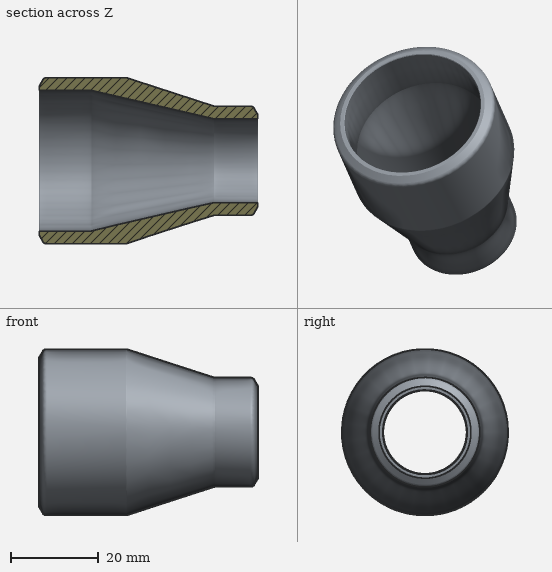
import cadquery as cq
import math

length = 50.0
wall = 3.0
large_radius = 19.0
small_radius = 12.5
taper_start = 20.0
taper_end = 40.0
bore_taper_start = 12.0

rim_width = 1.0
bevel_angle = 30.0
blend_radius = 1.0
bore_edge_chamfer = 0.15

large_bore_radius = large_radius - wall
small_bore_radius = small_radius - wall
bevel_length = (wall - rim_width) * math.tan(math.radians(bevel_angle))


def outer_body():
    profile = [
        (0, 0),
        (0, large_bore_radius + rim_width),
        (bevel_length, large_radius),
        (taper_start, large_radius),
        (taper_end, small_radius),
        (length - bevel_length, small_radius),
        (length, small_bore_radius + rim_width),
        (length, 0),
    ]
    body = cq.Workplane("XY").polyline(profile).close().revolve(360, (0, 0), (1, 0))
    blended_region = cq.selectors.BoxSelector(
        (bevel_length / 2, -length, -length),
        (length - bevel_length / 2, length, length),
    )
    return body.edges("%CIRCLE").edges(blended_region).fillet(blend_radius)


def bore():
    profile = [
        (0, 0),
        (0, large_bore_radius + bore_edge_chamfer),
        (bore_edge_chamfer, large_bore_radius),
        (bore_taper_start, large_bore_radius),
        (taper_end, small_bore_radius),
        (length - bore_edge_chamfer, small_bore_radius),
        (length, small_bore_radius + bore_edge_chamfer),
        (length, 0),
    ]
    return cq.Workplane("XY").polyline(profile).close().revolve(360, (0, 0), (1, 0))


result = outer_body().cut(bore())